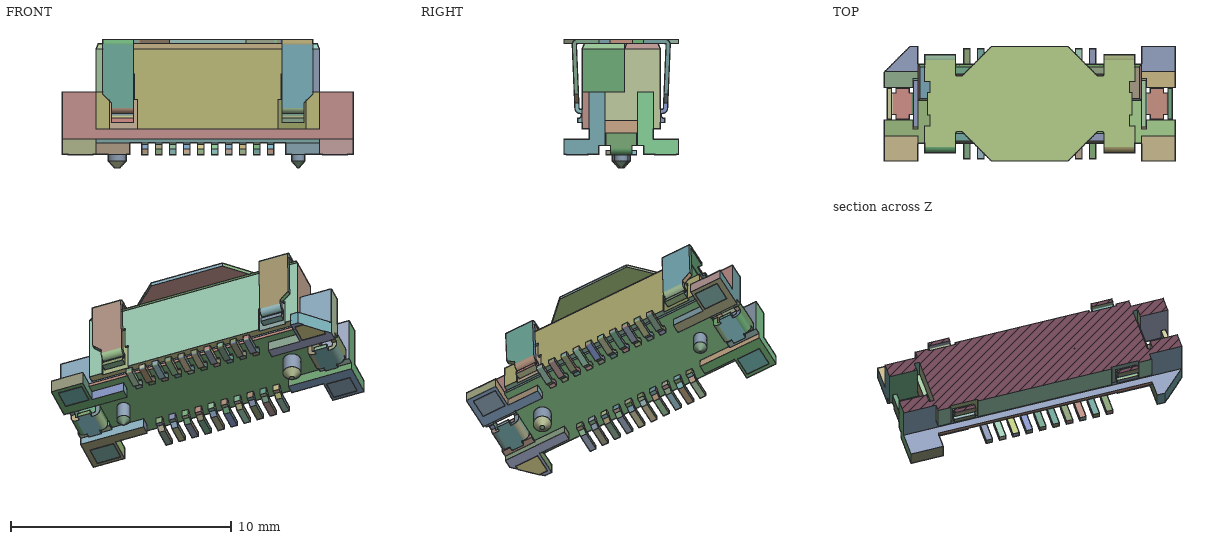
import cadquery as cq
import math

PAD_TOP = 0.03
FEET_NOTCH_TOP = 0.42
BASE_BOTTOM = 0.55
FOOT_TOP = 0.72
BODY_BOTTOM = 1.19
EAR_TOP = 2.87
SHEET_TOP = 5.25
SHEET = 0.2
BODY_TOP = SHEET_TOP - SHEET
PEG_TIP = -0.6

HALF_LENGTH = 6.61
BODY_HALF_X = 5.075
BODY_HALF_Y = 1.78
TOP_BEVEL_HEIGHT = 0.24
TOP_BEVEL_INSET = 0.1
RECESS_DEPTH = 0.63
RECESS_Y = 0.15
MOUTH_WALL = 0.44
BASE_HALF_Y = 1.46
LEDGE_HALF_Y = 1.81
FOOT_HALF_Y = 2.6
CORNER_CUT = 1.17
EAR_INNER_Y = 0.735
NOTCH_HALF_Y = 1.02
STANDOFF_INNER_X = 3.53
SLOT_HALF_Y = 1.14
SLOT_WIDTH = 0.22

PAD_X = (5.2, 6.34)
PAD_Y = (1.51, 2.42)

PEG_X = 4.11
PEG_SHOULDER = -0.28
LARGE_PEG_RADIUS = 0.41
LARGE_PEG_TIP_RADIUS = 0.11
SMALL_PEG_RADIUS = 0.305
SMALL_PEG_TIP_RADIUS = 0.02

CONTACTS_PER_ROW = 10
CONTACT_PITCH = 0.635
CONTACT_WIDTH = 0.3
CONTACT_ROOT_Y = 1.2
CONTACT_END_Y = 2.5
CONTACT_THICKNESS = 0.27
CONTACT_BEND_Y = (1.38, 1.58)
CONTACT_ROOT_OVERLAP = 0.05
CONTACT_TIP_RADIUS = 0.05

CLIP_OUTER_X = 6.48
CLIP_SHEET = 0.21
CLIP_HALF_Y = 0.7
CLIP_NECK_HALF_Y = 0.49
CLIP_INNER_HALF_Y = 1.06
CLIP_OUTER_TOP = 1.0
CLIP_INNER_TOP = 1.56
CLIP_FLOOR_X = (5.47, 6.08)
CLIP_BEND_RADIUS = 0.28

OCTAGON_HALF_X = 1.74
ARM_INNER_X = 3.37
ARM_OUTER_X = 4.77
ARM_NARROW_X = 4.37
ARM_TAPER_TOP = 2.76
RELIEF_Y = 1.26
RELIEF_RADIUS = 0.1
TAB_HALF_Y = 0.5
TAB_X = 4.65
TAB_NOTCH_X = 4.53
TAB_NOTCH_HALF_Y = 1.0
ARM_TOP_Y = 2.23
ARM_LOW_Y = 2.11
ARM_LOW_Z = 2.13
ARM_BEND_RADIUS = 0.25
HOOK_Y = 1.83
HOOK_TIP_Y = 1.985
HOOK_BOTTOM = 1.47
HOOK_RADIUS = 0.1

POCKET_DEPTH = 0.1
POCKET_X = (3.18, 4.46)
POCKET_TOP = 2.52
UPPER_POCKET_X = 3.33
UPPER_POCKET_TOP = 3.67


def box(x, y, z):
    """Box from (low, high) pairs."""
    size = [high - low for low, high in (x, y, z)]
    return cq.Workplane("XY").box(*size, centered=False).translate((x[0], y[0], z[0]))


def both_ends(shape):
    return shape.union(shape.mirror("YZ"))


def both_sides(shape):
    return shape.union(shape.mirror("XZ"))


def all_corners(shape):
    return both_ends(both_sides(shape))


def make_body():
    """Body with bevelled top, a stepped recess at both ends and pockets behind the cap arms."""
    recess_x = BODY_HALF_X - RECESS_DEPTH
    lower = box((-BODY_HALF_X, BODY_HALF_X), (-BODY_HALF_Y, BODY_HALF_Y), (BODY_BOTTOM, EAR_TOP))
    footprint = [
        (-recess_x, -BODY_HALF_Y),
        (recess_x, -BODY_HALF_Y),
        (recess_x, RECESS_Y),
        (BODY_HALF_X, RECESS_Y),
        (BODY_HALF_X, BODY_HALF_Y),
        (-BODY_HALF_X, BODY_HALF_Y),
        (-BODY_HALF_X, RECESS_Y),
        (-recess_x, RECESS_Y),
    ]
    bevel_bottom = BODY_TOP - TOP_BEVEL_HEIGHT
    bevel_angle = math.degrees(math.atan2(TOP_BEVEL_INSET, TOP_BEVEL_HEIGHT))
    upper = cq.Workplane("XY", origin=(0, 0, EAR_TOP)).polyline(footprint).close()
    upper = upper.extrude(bevel_bottom - EAR_TOP)
    bevel = cq.Workplane("XY", origin=(0, 0, bevel_bottom)).polyline(footprint).close()
    bevel = bevel.extrude(TOP_BEVEL_HEIGHT, taper=bevel_angle)
    mouth = cq.Workplane("XY", origin=(0, 0, BODY_TOP))
    mouth = mouth.rect(2 * (recess_x - MOUTH_WALL), 2 * (BODY_HALF_Y - MOUTH_WALL))
    mouth = mouth.extrude(-TOP_BEVEL_HEIGHT, taper=bevel_angle)
    pocket_y = (BODY_HALF_Y - POCKET_DEPTH, BODY_HALF_Y)
    pocket = box(POCKET_X, pocket_y, (BODY_BOTTOM, POCKET_TOP))
    pocket = pocket.union(box((UPPER_POCKET_X, ARM_NARROW_X), pocket_y, (POCKET_TOP, UPPER_POCKET_TOP)))
    return lower.union(upper).union(bevel).cut(mouth).cut(all_corners(pocket))


def make_base():
    """Base slab with a narrow ledge along both sides and four standoffs under its ends."""
    span_x = (-BODY_HALF_X, BODY_HALF_X)
    core = box(span_x, (-BASE_HALF_Y, BASE_HALF_Y), (BASE_BOTTOM, BODY_BOTTOM))
    ledge = box(span_x, (-LEDGE_HALF_Y, LEDGE_HALF_Y), (BASE_BOTTOM, FOOT_TOP))
    standoff = box((STANDOFF_INNER_X, BODY_HALF_X), (NOTCH_HALF_Y, BASE_HALF_Y), (PAD_TOP, BASE_BOTTOM))
    return core.union(ledge).union(all_corners(standoff))


def make_ears():
    """Ears with their feet and solder pads, one corner of the feet cut off."""
    end_x = (BODY_HALF_X, HALF_LENGTH)
    ear = box(end_x, (EAR_INNER_Y, BASE_HALF_Y), (PAD_TOP, EAR_TOP))
    foot = box(end_x, (BASE_HALF_Y, FOOT_HALF_Y), (PAD_TOP, FOOT_TOP))
    pad = box(PAD_X, PAD_Y, (0, PAD_TOP))
    notch = box(end_x, (EAR_INNER_Y, NOTCH_HALF_Y), (PAD_TOP, FEET_NOTCH_TOP))
    slot = box((BODY_HALF_X, BODY_HALF_X + SLOT_WIDTH), (EAR_INNER_Y, SLOT_HALF_Y), (FOOT_TOP, EAR_TOP))
    ears = all_corners(ear.union(foot).union(pad).cut(notch).cut(slot))
    corner = cq.Workplane("XY").polyline([
        (-HALF_LENGTH, FOOT_HALF_Y),
        (-HALF_LENGTH, FOOT_HALF_Y - CORNER_CUT),
        (-HALF_LENGTH + CORNER_CUT, FOOT_HALF_Y),
    ]).close().extrude(EAR_TOP)
    return ears.cut(corner)


def make_peg(x, radius, tip_radius):
    """Round locating peg with a conical tip."""
    profile = [
        (0, BASE_BOTTOM),
        (radius, BASE_BOTTOM),
        (radius, PEG_SHOULDER),
        (tip_radius, PEG_TIP),
        (0, PEG_TIP),
    ]
    peg = cq.Workplane("XZ").polyline(profile).close().revolve(360, (0, 0, 0), (0, 1, 0))
    return peg.translate((x, 0, 0))


def make_contacts():
    """Two rows of contacts, bent down to the solder plane and running outward."""
    bend_start, bend_end = CONTACT_BEND_Y
    slope_height = bend_end - bend_start
    root_top = BASE_BOTTOM + CONTACT_ROOT_OVERLAP
    side = [
        (CONTACT_ROOT_Y, slope_height),
        (bend_start, slope_height),
        (bend_end, 0),
        (CONTACT_END_Y, 0),
        (CONTACT_END_Y, CONTACT_THICKNESS),
        (bend_end, CONTACT_THICKNESS),
        (bend_start, CONTACT_THICKNESS + slope_height),
        (bend_start, root_top),
        (CONTACT_ROOT_Y, root_top),
    ]
    contact = cq.Workplane("YZ").polyline(side).close().extrude(CONTACT_WIDTH / 2, both=True)
    contact = both_sides(contact.faces(">Y").edges("<Z").fillet(CONTACT_TIP_RADIUS))
    first_x = -CONTACT_PITCH * (CONTACTS_PER_ROW - 1) / 2
    contacts = cq.Workplane("XY")
    for index in range(CONTACTS_PER_ROW):
        contacts = contacts.add(contact.translate((first_x + index * CONTACT_PITCH, 0, 0)))
    return contacts.combine()


def make_clips():
    """U-shaped hold-down clips, their inner legs seated in the ear slots."""
    inner_x = BODY_HALF_X
    outer_leg_x = CLIP_OUTER_X - CLIP_SHEET
    inner_leg_x = inner_x + CLIP_SHEET
    neck_y = (-CLIP_NECK_HALF_Y, CLIP_NECK_HALF_Y)
    full_y = (-CLIP_HALF_Y, CLIP_HALF_Y)
    strip = box((inner_x, CLIP_OUTER_X), neck_y, (0, FOOT_TOP))
    strip = strip.edges("|Y and <Z").fillet(CLIP_BEND_RADIUS)
    hollow = box((inner_leg_x, outer_leg_x), neck_y, (CLIP_SHEET, FOOT_TOP))
    strip = strip.cut(hollow.edges("|Y and <Z").fillet(CLIP_BEND_RADIUS - CLIP_SHEET))
    floor = box(CLIP_FLOOR_X, full_y, (0, CLIP_SHEET))
    outer_leg = box((outer_leg_x, CLIP_OUTER_X), full_y, (FEET_NOTCH_TOP, CLIP_OUTER_TOP))
    inner_leg = box(
        (inner_x, inner_leg_x), (-CLIP_INNER_HALF_Y, CLIP_INNER_HALF_Y), (FOOT_TOP, CLIP_INNER_TOP)
    )
    return both_ends(strip.union(floor).union(outer_leg).union(inner_leg))


def make_cap_plate():
    """Flat octagonal plate with relief slots beside the arms and notched ends."""
    diagonal_end_x = OCTAGON_HALF_X + FOOT_HALF_Y - RELIEF_Y
    arm_start_y = ARM_TOP_Y - ARM_BEND_RADIUS
    quarter = [
        (0, 0),
        (0, FOOT_HALF_Y),
        (OCTAGON_HALF_X, FOOT_HALF_Y),
        (diagonal_end_x, RELIEF_Y),
        (ARM_INNER_X, RELIEF_Y),
        (ARM_INNER_X, arm_start_y),
        (ARM_OUTER_X, arm_start_y),
        (ARM_OUTER_X, TAB_NOTCH_HALF_Y),
        (TAB_NOTCH_X, TAB_NOTCH_HALF_Y),
        (TAB_NOTCH_X, TAB_HALF_Y),
        (TAB_X, TAB_HALF_Y),
        (TAB_X, 0),
    ]
    plate = cq.Workplane("XY", origin=(0, 0, BODY_TOP)).polyline(quarter).close().extrude(SHEET)
    slot_root = cq.selectors.BoxSelector(
        (OCTAGON_HALF_X, RELIEF_Y - SHEET, 0), (ARM_INNER_X + SHEET, RELIEF_Y + SHEET, SHEET_TOP)
    )
    plate = plate.edges("|Z").edges(slot_root).fillet(RELIEF_RADIUS)
    return all_corners(plate)


def make_cap_arms():
    """Arms bent down from the plate, turned in against the body and hooked out at the tip."""
    bend_y = ARM_TOP_Y - ARM_BEND_RADIUS
    bend_z = SHEET_TOP - ARM_BEND_RADIUS
    diagonal = math.sqrt(0.5)
    inner_bend = ARM_BEND_RADIUS - SHEET
    turn_y = ARM_LOW_Y - ARM_BEND_RADIUS
    turn_bottom = ARM_LOW_Z - ARM_BEND_RADIUS
    hook_top = HOOK_BOTTOM + SHEET
    side = (
        cq.Workplane("YZ")
        .moveTo(bend_y, SHEET_TOP)
        .threePointArc(
            (bend_y + ARM_BEND_RADIUS * diagonal, bend_z + ARM_BEND_RADIUS * diagonal), (ARM_TOP_Y, bend_z)
        )
        .lineTo(ARM_LOW_Y, ARM_LOW_Z)
        .threePointArc(
            (turn_y + ARM_BEND_RADIUS * diagonal, ARM_LOW_Z - ARM_BEND_RADIUS * diagonal),
            (turn_y, turn_bottom),
        )
        .lineTo(HOOK_Y, turn_bottom)
        .lineTo(HOOK_Y, hook_top + HOOK_RADIUS)
        .radiusArc((HOOK_Y + HOOK_RADIUS, hook_top), -HOOK_RADIUS)
        .lineTo(HOOK_TIP_Y, hook_top)
        .lineTo(HOOK_TIP_Y, HOOK_BOTTOM)
        .lineTo(HOOK_Y - SHEET, HOOK_BOTTOM)
        .lineTo(HOOK_Y - SHEET, turn_bottom + SHEET)
        .lineTo(turn_y, turn_bottom + SHEET)
        .threePointArc(
            (turn_y + inner_bend * diagonal, ARM_LOW_Z - inner_bend * diagonal),
            (ARM_LOW_Y - SHEET, ARM_LOW_Z),
        )
        .lineTo(ARM_TOP_Y - SHEET, bend_z)
        .threePointArc((bend_y + inner_bend * diagonal, bend_z + inner_bend * diagonal), (bend_y, BODY_TOP))
        .close()
        .extrude(ARM_OUTER_X)
    )
    taper = ARM_OUTER_X - ARM_NARROW_X
    face = cq.Workplane("XZ").polyline([
        (ARM_INNER_X, SHEET_TOP),
        (ARM_OUTER_X, SHEET_TOP),
        (ARM_OUTER_X, ARM_TAPER_TOP),
        (ARM_NARROW_X, ARM_TAPER_TOP - taper),
        (ARM_NARROW_X, HOOK_BOTTOM),
        (ARM_INNER_X, HOOK_BOTTOM),
    ]).close().extrude(-FOOT_HALF_Y)
    return all_corners(side.intersect(face))


result = (
    make_body()
    .union(make_base())
    .union(make_ears())
    .union(make_peg(-PEG_X, LARGE_PEG_RADIUS, LARGE_PEG_TIP_RADIUS))
    .union(make_peg(PEG_X, SMALL_PEG_RADIUS, SMALL_PEG_TIP_RADIUS))
    .union(make_contacts())
    .union(make_clips())
    .union(make_cap_plate())
    .union(make_cap_arms())
)